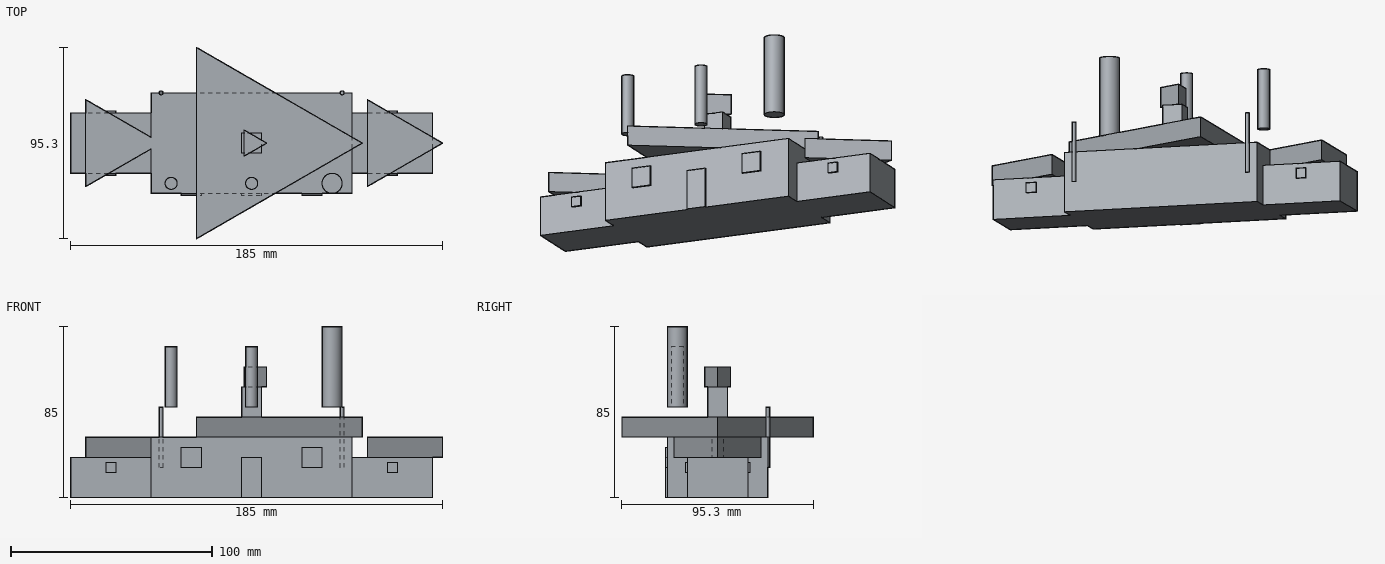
import cadquery as cq
import math

hall_length = 100.0
hall_width = 50.0
hall_height = 30.0
wing_length = 40.0
wing_width = 30.0
wing_height = 20.0
wing_x = hall_length / 2 + wing_length / 2

roof_thickness = 10.0
hall_roof_radius = 55.0
wing_roof_radius = 25.0
tower_roof_radius = 7.5

tower_side = 10.0
tower_height = 15.0
tower_base_z = hall_height + roof_thickness

panel_relief = 1.0
door_width = 10.0
door_height = 20.0
hall_window_side = 10.0
hall_window_x = 30.0
hall_window_z = 20.0
wing_window_side = 5.0
wing_window_z = 15.0

pole_diameter = 2.0
pole_length = 30.0
pole_x = 45.0
pole_base_z = 15.0

chimney_y = -20.0
chimney_base_z = 45.0
chimney_spacing = 40.0
small_chimney_diameter = 6.0
small_chimney_height = 30.0
large_chimney_diameter = 10.0
large_chimney_height = 40.0


def block(length, width, height, x, base_z):
    """Rectangular block centred on (x, 0), rising from base_z."""
    return (
        cq.Workplane("XY", origin=(x, 0, base_z))
        .rect(length, width)
        .extrude(height)
    )


def roof(radius, x, base_z):
    """Equilateral triangular slab with its centroid at (x, 0)."""
    back = -radius / 2
    half_side = radius * math.sqrt(3) / 2
    return (
        cq.Workplane("XY", origin=(x, 0, base_z))
        .polyline([(radius, 0), (back, half_side), (back, -half_side)])
        .close()
        .extrude(roof_thickness)
    )


def cylinder(diameter, height, x, y, base_z):
    """Upright cylinder."""
    return (
        cq.Workplane("XY", origin=(x, y, base_z))
        .circle(diameter / 2)
        .extrude(height)
    )


def make_hall():
    """Hall with its roof, door and front windows."""
    hall = block(hall_length, hall_width, hall_height, 0, 0)
    hall = hall.union(roof(hall_roof_radius, 0, hall_height))
    panel_y = -(hall_width + panel_relief) / 2
    door = cq.Workplane("XY").box(door_width, panel_relief, door_height)
    hall = hall.union(door.translate((0, panel_y, door_height / 2)))
    window = cq.Workplane("XY").box(hall_window_side, panel_relief, hall_window_side)
    for x in (-hall_window_x, hall_window_x):
        hall = hall.union(window.translate((x, panel_y, hall_window_z)))
    return hall


def make_wing(x):
    """Wing centred at x with its roof and a window in each long wall."""
    wing = block(wing_length, wing_width, wing_height, x, 0)
    wing = wing.union(roof(wing_roof_radius, x, wing_height))
    window = block(
        wing_window_side,
        wing_width + 2 * panel_relief,
        wing_window_side,
        x,
        wing_window_z - wing_window_side / 2,
    )
    return wing.union(window)


def make_tower():
    """Square tower with its small triangular roof."""
    tower = block(tower_side, tower_side, tower_height, 0, tower_base_z)
    return tower.union(roof(tower_roof_radius, 0, tower_base_z + tower_height))


def make_house():
    """Hall, tower, wings and flag poles joined as one body."""
    house = make_hall().union(make_tower())
    for side in (-1, 1):
        house = house.union(make_wing(side * wing_x))
        pole = cylinder(pole_diameter, pole_length, side * pole_x, hall_width / 2, pole_base_z)
        house = house.union(pole)
    return house.solids()


def make_chimney(diameter, height, x):
    """Chimney standing free at the given x position."""
    return cylinder(diameter, height, x, chimney_y, chimney_base_z)


house = make_house()
small_chimneys = [
    make_chimney(small_chimney_diameter, small_chimney_height, x)
    for x in (-chimney_spacing, 0)
]
large_chimney = make_chimney(large_chimney_diameter, large_chimney_height, chimney_spacing)

result = cq.Compound.makeCompound(
    [house.val(), *[chimney.val() for chimney in small_chimneys], large_chimney.val()]
)